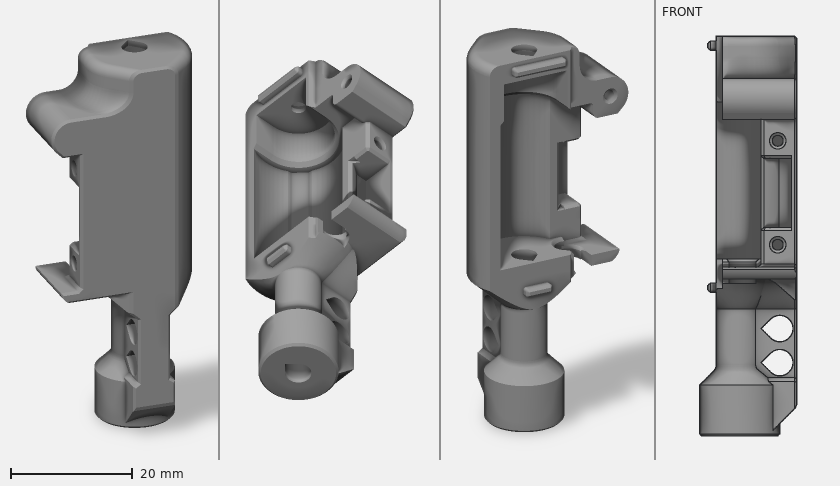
import cadquery as cq
import math

TOTAL_HEIGHT = 65.7
FLOOR_Z = 29.1
TAPER_TOP_Z = 25.8
STEM_TOP_Z = 20.85
HEAD_Z = 54.9

FRONT_X = -3.85
SIDE_X = -2.84
BACK_X = 9.42
PLAN_OVERRUN = 1.0
BODY_R = 9.45
NEAR_Y = -9.1
NEAR_ARC_R = 6.7
NEAR_ARC_X = 1.7
NEAR_FLAT_X = -1.9
NEAR_CORNER_R = 2.0
CORNER_Y = -6.6
CORNER_DEPTH = 0.6
EDGE_BEVEL = 0.4
HEAD_FILLET = 1.65

CAVITY_R = 7.65
CAVITY_FLAT = 7.8
CAVITY_FLAT_HALF = 1.4
CAVITY_FLAT_FLARE = 1.45
OPEN_X = 3.5
POCKET_R = 6.0
POCKET_TOP_Z = 62.2
POCKET_BEVEL = 0.7
BORE_R = 2.15
PILOT_R = 1.25
FUNNEL_DEPTH = 1.0
CONE_DEPTH = 1.6

STEM_R = 3.85
FOOT_R = 6.6
FOOT_H = 8.7
FOOT_BEVEL = 0.4
FOOT_LEDGE = 0.3
NECK_FILLET = 1.2
RIB_HALF = 2.8
RIB_FOOT_HALF = 3.7
RIB_FOOT_Z = 9.0
RIB_STEP_H = 0.6
RIB_SLOPE_Z = 4.9
RIB_HOLE_X = 6.6
RIB_HOLE_ZS = (12.07, 17.67)

LUG_Y = -14.65
LUG_Z = 55.38
LUG_R = 3.37
LUG_BOTTOM_Z = 52.0
LUG_STEP_Y = -11.4
LUG_STEP_R = 1.0
HEAD_STEP_R = 0.6
LUG_FILLET = 3.2

BLOCK_Y = -12.95
BLOCK_BEVEL = 0.5
SCREW_X = 6.26
SCREW_ZS = (31.43, 48.5)
WINDOW_Z = (34.25, 45.6)
WINDOW_X = 8.54
WINDOW_Y = -7.14
WINDOW_EDGE_Y = -8.15
WINDOW_BEVEL = 0.45
SMALL_R = 0.9
SMALL_BEVEL = 0.45
SMALL_DEPTH = 5.0

SHELF_Y = -16.35
SHELF_TOP_Z = 27.75
SHELF_LIP = 0.35
SHELF_SLANT = 1.5
SHELF_NOSE_R = 3.0
NOTCH_X = 0.4
NOTCH_Y = -8.55
NOTCH_R = 2.3
NOTCH_ENTRY_Y = (-11.05, -7.8)
NOTCH_BOTTOM_Z = 25.1
NOTCH_BEVEL = 0.5

RIDGE_OUT = 1.42
RIDGE_H = 1.55
RIDGE_BEVEL = 0.45
RIDGE_CORNER_R = 0.5
RIDGES = ((-0.35, 64.12, 9.8), (-0.1, 24.38, 4.9))

DIAG = math.sqrt(0.5)
BIG = 60.0


def box(x, y, z):
    """Box spanning the given (low, high) ranges."""
    return (cq.Workplane("XY").box(x[1] - x[0], y[1] - y[0], z[1] - z[0], centered=False)
            .translate((x[0], y[0], z[0])))


def cylinder(radius, z_low, z_high):
    return cq.Workplane("XY").workplane(offset=z_low).circle(radius).extrude(z_high - z_low)


def x_prism(sketch_points, x_low, x_high):
    """Prism along X from (y, z) points."""
    return (cq.Workplane("YZ").workplane(offset=x_low).polyline(sketch_points).close()
            .extrude(x_high - x_low))


def drop(plane, origin, radius, length):
    """Round hole with a 45 degree point toward -X."""
    tip = radius / DIAG
    return (cq.Workplane(plane, origin=origin)
            .moveTo(-radius * DIAG, radius * DIAG).lineTo(-tip, 0)
            .lineTo(-radius * DIAG, -radius * DIAG)
            .threePointArc((radius, 0), (-radius * DIAG, radius * DIAG)).close()
            .extrude(length))


def body_plan():
    """Plan outline of the body, running a little past the opening face."""
    front_x = FRONT_X - PLAN_OVERRUN
    front_y = math.sqrt(BODY_R ** 2 - front_x ** 2)
    far = BODY_R * DIAG
    arc_y = NEAR_Y + NEAR_ARC_R
    near_x = NEAR_ARC_X + NEAR_ARC_R * DIAG
    near_y = arc_y - NEAR_ARC_R * DIAG
    mid = math.radians(67.5)
    reach = NEAR_FLAT_X - SIDE_X
    drop_y = math.sqrt(NEAR_CORNER_R ** 2 - reach ** 2)
    side_y = NEAR_Y + NEAR_CORNER_R - drop_y
    bevel_slope = reach / drop_y
    return (cq.Workplane("XY").moveTo(front_x, front_y)
            .threePointArc((0, BODY_R), (far, far))
            .lineTo(BACK_X, 2 * far - BACK_X)
            .lineTo(BACK_X, near_y + BACK_X - near_x)
            .lineTo(near_x, near_y)
            .threePointArc((NEAR_ARC_X + NEAR_ARC_R * math.cos(mid), arc_y - NEAR_ARC_R * math.sin(mid)),
                           (NEAR_ARC_X, NEAR_Y))
            .lineTo(NEAR_FLAT_X, NEAR_Y)
            .radiusArc((SIDE_X, side_y), NEAR_CORNER_R)
            .lineTo(front_x, side_y + bevel_slope * (SIDE_X - front_x))
            .close())


def make_shell():
    """Outer body with rounded head edges and a taper down to the stem."""
    shell = body_plan().extrude(TOTAL_HEIGHT)
    shell = shell.faces(">Z").edges("not(|Y)").fillet(HEAD_FILLET)
    shell = shell.intersect(box((FRONT_X, BACK_X), (-BIG, BIG), (0, TOTAL_HEIGHT)))
    rise = TAPER_TOP_Z - STEM_TOP_Z
    spread = BODY_R - STEM_R
    wide = RIB_HALF + spread
    cone = (cq.Workplane("XZ").moveTo(0, STEM_TOP_Z).lineTo(STEM_R, STEM_TOP_Z)
            .lineTo(BODY_R, STEM_TOP_Z + rise).lineTo(0, STEM_TOP_Z + rise).close()
            .revolve(360, (0, 0, 0), (0, 1, 0)))
    wedge = x_prism([(-RIB_HALF, STEM_TOP_Z), (RIB_HALF, STEM_TOP_Z),
                     (wide, TAPER_TOP_Z), (-wide, TAPER_TOP_Z)], 0, BACK_X)
    envelope = cone.union(wedge).union(box((-BIG, BIG), (-BIG, BIG), (TAPER_TOP_Z, TOTAL_HEIGHT)))
    return shell.intersect(envelope)


def make_lug():
    """Hinge lug: round nose with a 45 degree relief and a flat underside."""
    nose_y = LUG_Y - LUG_R * DIAG
    nose_z = LUG_Z - LUG_R * DIAG
    return (cq.Workplane("YZ").workplane(offset=SIDE_X)
            .moveTo(0, LUG_Z + LUG_R).lineTo(LUG_Y, LUG_Z + LUG_R)
            .threePointArc((LUG_Y - LUG_R, LUG_Z), (nose_y, nose_z))
            .lineTo(nose_y + nose_z - LUG_BOTTOM_Z, LUG_BOTTOM_Z)
            .lineTo(LUG_STEP_Y - LUG_STEP_R, LUG_BOTTOM_Z)
            .radiusArc((LUG_STEP_Y, LUG_BOTTOM_Z + LUG_STEP_R), -LUG_STEP_R)
            .lineTo(LUG_STEP_Y, HEAD_Z - HEAD_STEP_R)
            .radiusArc((LUG_STEP_Y + HEAD_STEP_R, HEAD_Z), HEAD_STEP_R)
            .lineTo(0, HEAD_Z).close()
            .extrude(BACK_X - SIDE_X))


def blend_lug(part):
    """Concave blend where the head wall meets the top of the lug."""
    level = LUG_Z + LUG_R
    margin = 0.1
    picker = cq.selectors.BoxSelector((SIDE_X - margin, NEAR_Y - margin, level - margin),
                                      (BACK_X + margin, 0, level + margin), boundingbox=True)
    return part.edges(picker).fillet(LUG_FILLET)


def make_block():
    """Screw block beside the cavity, with a window that has bevelled rims."""
    block = box((OPEN_X, BACK_X), (BLOCK_Y, 0), (TAPER_TOP_Z, HEAD_Z))
    block = block.edges("|Z and <X and <Y").chamfer(BLOCK_BEVEL)
    window = box((0, WINDOW_X), (BLOCK_Y - 1, WINDOW_Y), WINDOW_Z)
    block = block.cut(window)
    rims = []
    for level in WINDOW_Z:
        rims += block.edges(cq.selectors.BoxSelector(
            (OPEN_X - 1, BLOCK_Y - 1, level - 0.1), (WINDOW_X - 0.1, WINDOW_Y - 0.1, level + 0.1))).vals()
    return block.newObject(rims).chamfer(WINDOW_BEVEL)


def make_window_bevel():
    """Cutter for the 45 degree bevel on the wall corner inside the window."""
    reach = 1.5
    return (cq.Workplane("XY").workplane(offset=WINDOW_Z[0] - WINDOW_BEVEL).moveTo(OPEN_X, WINDOW_EDGE_Y)
            .lineTo(OPEN_X + reach, WINDOW_EDGE_Y - reach).lineTo(OPEN_X, WINDOW_EDGE_Y - reach).close()
            .extrude(WINDOW_Z[1] - WINDOW_Z[0] + 2 * WINDOW_BEVEL))


def make_skirt(level, top_y):
    """Block foot that flares out at 45 degrees down to the given level."""
    low = (OPEN_X - BLOCK_BEVEL, BLOCK_Y - BLOCK_BEVEL)
    flare = (cq.Workplane("XY").workplane(offset=level)
             .rect(2 * (BACK_X - low[0]), 2 * (top_y - low[1])).extrude(BLOCK_BEVEL, taper=45)
             .translate((BACK_X, top_y, 0)))
    return flare.intersect(box((0, BACK_X), (-BIG, top_y), (0, BIG)))


def make_shelf():
    """Latch shelf with a rounded underside at its free edge."""
    bottom = TAPER_TOP_Z
    return (cq.Workplane("YZ").workplane(offset=SIDE_X)
            .moveTo(0, bottom).lineTo(0, SHELF_TOP_Z).lineTo(SHELF_Y, SHELF_TOP_Z)
            .lineTo(SHELF_Y, SHELF_TOP_Z - SHELF_LIP)
            .radiusArc((SHELF_Y + SHELF_SLANT, bottom), -SHELF_NOSE_R).close()
            .extrude(BACK_X - SIDE_X))


def make_foot():
    """Stem and foot, turned about the Z axis."""
    cone_r = FOOT_R - FOOT_LEDGE
    neck_z = FOOT_H + cone_r - STEM_R
    cut = NECK_FILLET * math.tan(math.radians(22.5))
    return (cq.Workplane("XZ").moveTo(0, 0).lineTo(FOOT_R - FOOT_BEVEL, 0)
            .lineTo(FOOT_R, FOOT_BEVEL).lineTo(FOOT_R, FOOT_H - FOOT_LEDGE)
            .lineTo(cone_r, FOOT_H)
            .lineTo(STEM_R + cut * DIAG, neck_z - cut * DIAG)
            .radiusArc((STEM_R, neck_z + cut), NECK_FILLET)
            .lineTo(STEM_R, STEM_TOP_Z).lineTo(0, STEM_TOP_Z).close()
            .revolve(360, (0, 0, 0), (0, 1, 0)))


def make_rib():
    """Rib behind the stem, wider at the foot and cut at 45 degrees below."""
    step_top = RIB_FOOT_Z + RIB_STEP_H
    half = [(RIB_FOOT_HALF, 0), (RIB_FOOT_HALF, RIB_FOOT_Z), (RIB_HALF, step_top), (RIB_HALF, STEM_TOP_Z)]
    rib = x_prism(half + [(-y, z) for y, z in reversed(half)], 0, BACK_X)
    slope = (cq.Workplane("XZ").moveTo(BACK_X, 0).lineTo(BACK_X, RIB_SLOPE_Z)
             .lineTo(BACK_X - RIB_SLOPE_Z, 0).close().extrude(BIG, both=True))
    return rib.cut(slope)


def make_cavity():
    """Long bore open toward -X and -Y, with a flat groove on the diagonal."""
    bore = cylinder(CAVITY_R, FLOOR_Z, HEAD_Z)
    depth = 1.0
    inner = CAVITY_FLAT - depth
    wide = CAVITY_FLAT_HALF + CAVITY_FLAT_FLARE * depth
    groove = (cq.Workplane("XY").workplane(offset=FLOOR_Z)
              .polyline([(CAVITY_FLAT, -CAVITY_FLAT_HALF), (CAVITY_FLAT, CAVITY_FLAT_HALF),
                         (inner, wide), (inner, -wide)]).close().extrude(HEAD_Z - FLOOR_Z))
    groove = groove.rotate((0, 0, 0), (0, 0, 1), 45)
    opening = box((-BIG, OPEN_X), (LUG_STEP_Y, 0), (FLOOR_Z, HEAD_Z)).edges("|X and <Y and >Z").fillet(HEAD_STEP_R)
    below_lug = box((-BIG, OPEN_X), (-BIG, 0), (FLOOR_Z, LUG_BOTTOM_Z))
    return bore.union(groove).union(opening).union(below_lug)


def make_pocket():
    """U-shaped pocket in the head, flared where it meets the cavity."""
    def u_shape(radius, z):
        return (cq.Workplane("XY").workplane(offset=z).moveTo(-BIG, radius).lineTo(0, radius)
                .threePointArc((radius, 0), (0, -radius)).lineTo(-BIG, -radius).close())
    pocket = u_shape(POCKET_R, HEAD_Z).extrude(POCKET_TOP_Z - HEAD_Z)
    flare = u_shape(POCKET_R + POCKET_BEVEL, HEAD_Z).extrude(POCKET_BEVEL, taper=45)
    return pocket.union(flare)


def make_axial_holes():
    """Drop-shaped bore down the stem and a funnel in the head."""
    stem_bore = drop("XY", (0, 0, 0), BORE_R, FLOOR_Z)
    mouth = drop("XY", (0, 0, TOTAL_HEIGHT - FUNNEL_DEPTH), BORE_R, FUNNEL_DEPTH)
    cone_top = TOTAL_HEIGHT - FUNNEL_DEPTH
    cone = cq.Workplane("XY").add(cq.Solid.makeCone(
        PILOT_R, BORE_R, CONE_DEPTH, cq.Vector(0, 0, cone_top - CONE_DEPTH)))
    pilot = cylinder(PILOT_R, POCKET_TOP_Z, TOTAL_HEIGHT)
    return stem_bore.union(mouth).union(cone).union(pilot)


def small_hole(origin, direction):
    """Blind hole with a countersunk mouth."""
    start = cq.Vector(*origin)
    along = cq.Vector(*direction)
    hole = cq.Solid.makeCylinder(SMALL_R, SMALL_DEPTH, start, along)
    mouth = cq.Solid.makeCone(SMALL_R + SMALL_BEVEL, SMALL_R, SMALL_BEVEL, start, along)
    return cq.Workplane("XY").add(hole).union(cq.Workplane("XY").add(mouth))


def make_notch():
    """Round notch with a straight entry from -X and a bevelled mouth in the floor."""
    depth = FLOOR_Z - NOTCH_BOTTOM_Z
    round_part = cq.Workplane("XY", origin=(NOTCH_X, NOTCH_Y, NOTCH_BOTTOM_Z)).circle(NOTCH_R).extrude(depth)
    entry = box((SIDE_X, NOTCH_X), NOTCH_ENTRY_Y, (NOTCH_BOTTOM_Z, FLOOR_Z))
    mouth_z = FLOOR_Z - NOTCH_BEVEL
    mouth = cq.Workplane("XY").add(cq.Solid.makeCone(
        NOTCH_R, NOTCH_R + NOTCH_BEVEL, NOTCH_BEVEL, cq.Vector(NOTCH_X, NOTCH_Y, mouth_z)))
    top_y = NOTCH_ENTRY_Y[1]
    entry_mouth = x_prism([(top_y, mouth_z), (top_y + NOTCH_BEVEL, FLOOR_Z), (top_y, FLOOR_Z)], SIDE_X, NOTCH_X)
    shelf_edge = cq.Workplane("XY").add(cq.Solid.makeCone(
        NOTCH_R, NOTCH_R + NOTCH_BEVEL, NOTCH_BEVEL, cq.Vector(NOTCH_X, NOTCH_Y, SHELF_TOP_Z - NOTCH_BEVEL)))
    shelf_edge = shelf_edge.intersect(box((-BIG, BIG), (-BIG, NOTCH_Y), (0, BIG)))
    return round_part.union(entry).union(mouth).union(entry_mouth).union(shelf_edge)


def make_ridge(mid_y, mid_z, length):
    """Rounded bar on the opening face with a bevelled outer edge."""
    foot = (cq.Workplane("YZ", origin=(FRONT_X, mid_y, mid_z)).sketch().rect(length, RIDGE_H)
            .vertices().fillet(RIDGE_CORNER_R).finalize())
    bar = foot.extrude(-RIDGE_OUT)
    return bar.faces("<X").chamfer(RIDGE_BEVEL)


def bevel_back(part):
    """Bevel the rim of the back face, except the slanted end of the shelf."""
    slant = cq.selectors.BoxSelector((BACK_X - 1, SHELF_Y, TAPER_TOP_Z),
                                     (BACK_X + 1, SHELF_Y + SHELF_SLANT, SHELF_TOP_Z - SHELF_LIP))
    return part.faces(">X").edges(cq.selectors.InverseSelector(slant)).chamfer(EDGE_BEVEL)


corner = (cq.Workplane("XY").moveTo(FRONT_X, CORNER_Y).lineTo(SIDE_X, CORNER_Y - CORNER_DEPTH)
          .lineTo(SIDE_X, -BIG).lineTo(FRONT_X, -BIG).close().extrude(TOTAL_HEIGHT))

part = make_shell().cut(corner).union(make_lug())
part = blend_lug(part)
part = part.union(make_block()).union(make_shelf())
part = part.union(make_skirt(SHELF_TOP_Z, NEAR_Y)).cut(make_window_bevel())
part = part.cut(make_cavity()).cut(make_pocket()).cut(make_notch())
part = part.union(make_foot()).union(make_rib())
part = part.cut(make_axial_holes())
for z in RIB_HOLE_ZS:
    part = part.cut(drop("XZ", (RIB_HOLE_X, BIG / 2, z), BORE_R, BIG))
for z in SCREW_ZS:
    part = part.cut(small_hole((SCREW_X, BLOCK_Y, z), (0, 1, 0)))
part = part.cut(small_hole((SIDE_X, LUG_Y, LUG_Z), (1, 0, 0)))
part = bevel_back(part)
for ridge in RIDGES:
    part = part.union(make_ridge(*ridge))
result = part